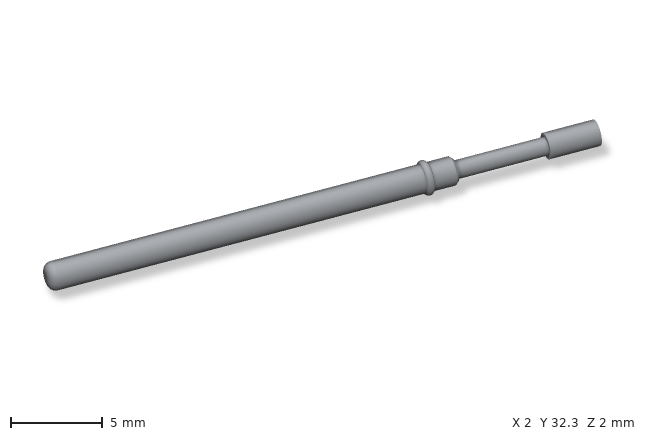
import cadquery as cq

TOTAL_LENGTH = 32.3

HEAD_DIAMETER = 1.5
HEAD_LENGTH = 3.0
SHAFT_DIAMETER = 1.05
PLUNGER_LENGTH = 8.3

BARREL_DIAMETER = 1.65
MOUTH_CHAMFER = 0.2
TAIL_RADIUS = 0.45

RING_DIAMETER = 2.0
RING_WIDTH = 0.5
RING_FROM_TIP = 10.05

TIP_Y = TOTAL_LENGTH / 2
TAIL_Y = TIP_Y - TOTAL_LENGTH
MOUTH_Y = TIP_Y - PLUNGER_LENGTH
RING_Y = TIP_Y - RING_FROM_TIP


def cylinder(diameter, start_y, end_y):
    """Solid cylinder on the Y axis from start_y up to end_y."""
    start_plane = cq.Workplane("XZ", origin=(0, start_y, 0))
    return start_plane.circle(diameter / 2).extrude(start_y - end_y)


def make_plunger():
    head = cylinder(HEAD_DIAMETER, TIP_Y - HEAD_LENGTH, TIP_Y)
    shaft = cylinder(SHAFT_DIAMETER, MOUTH_Y, TIP_Y - HEAD_LENGTH)
    return head.union(shaft)


def make_barrel():
    barrel = cylinder(BARREL_DIAMETER, TAIL_Y, MOUTH_Y)
    barrel = barrel.faces(">Y").edges().chamfer(MOUTH_CHAMFER)
    return barrel.faces("<Y").edges().fillet(TAIL_RADIUS)


def make_ring():
    """Ring whose outer side is a half round; its straight sides reach into the barrel."""
    half_width = RING_WIDTH / 2
    crest_radius = RING_DIAMETER / 2
    round_start = crest_radius - half_width
    root_radius = SHAFT_DIAMETER / 2
    profile = (
        cq.Workplane("XY")
        .moveTo(root_radius, RING_Y - half_width)
        .lineTo(round_start, RING_Y - half_width)
        .threePointArc((crest_radius, RING_Y), (round_start, RING_Y + half_width))
        .lineTo(root_radius, RING_Y + half_width)
        .close()
    )
    return profile.revolve(360, (0, 0, 0), (0, 1, 0))


result = make_barrel().union(make_ring()).union(make_plunger())